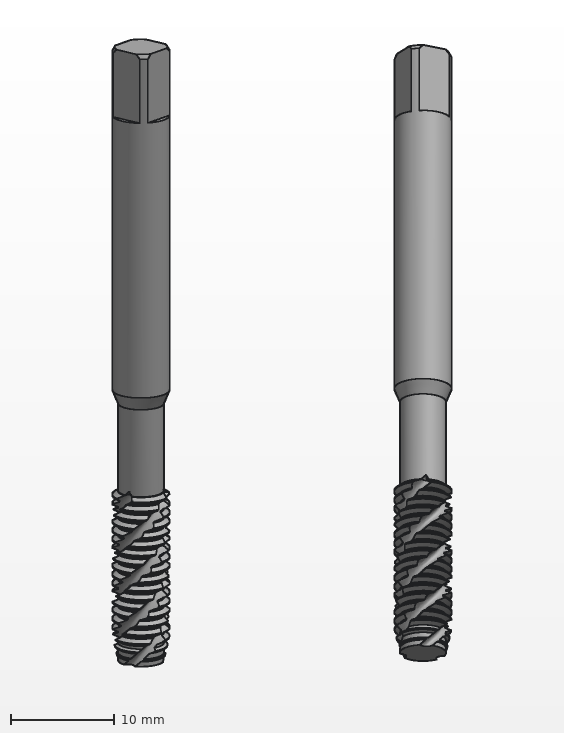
import cadquery as cq
import math

total_length = 62.0
body_radius = 2.8
neck_diameter = 4.45
neck_radius = neck_diameter / 2

square_width = 4.45
square_length = 6.9
square_bevel_height = 0.45
square_bevel_inset = 0.25

neck_top = 26.0
taper_height = 1.35
cutter_length = 17.2

ring_count = 19
plain_tip_length = 0.2
crest_flat = 0.11
flank_angle = 30.0
lead_in_height = 2.55
pitch = (cutter_length - plain_tip_length) / ring_count

flute_count = 3
flute_lead = 12.8
flute_half_width = 0.55
flute_floor_radius = 1.8
flute_center_radius = 3.0
flute_depth_axis = flute_center_radius - flute_floor_radius
flute_end_height = 17.25
flute_end_angle = 284.0
flute_overrun = 0.9
segments_per_flute = 2
joint_tolerance = 0.0001


def revolved(profile):
    """Revolve a closed outline of (radius, height) points about the Z axis, starting at -Y."""
    points = [(-radius, height) for radius, height in profile]
    return cq.Workplane("YZ").polyline(points).close().revolve(360, (0, 0), (0, 1))


def make_shank():
    """Neck, taper and round body, with a bevelled square at the top."""
    blank = revolved([
        (0, cutter_length),
        (neck_radius, cutter_length),
        (neck_radius, neck_top),
        (body_radius, neck_top + taper_height),
        (body_radius, total_length - square_bevel_height),
        (body_radius - square_bevel_inset, total_length),
        (0, total_length),
    ])
    square_base = total_length - square_length
    around_square = (
        cq.Workplane("XY", origin=(0, 0, square_base))
        .rect(3 * body_radius, 3 * body_radius)
        .rect(square_width, square_width)
        .extrude(square_length)
    )
    return blank.cut(around_square)


def crest_radius(height):
    """Outer radius of the thread, tapered from the neck radius at the tip to the full radius."""
    lead_in_fraction = min(height / lead_in_height, 1)
    return neck_radius + (body_radius - neck_radius) * lead_in_fraction


def make_threaded_blank():
    """Stack of V-shaped thread rings before the flutes are cut."""
    outline = [(0, 0), (neck_radius, 0)]
    for ring in range(ring_count):
        crest_center = plain_tip_length + (ring + 0.5) * pitch
        crest_bottom = crest_center - crest_flat / 2
        crest_top = crest_center + crest_flat / 2
        bottom_radius = crest_radius(crest_bottom)
        top_radius = crest_radius(crest_top)
        flank_slope = math.tan(math.radians(flank_angle))
        outline += [
            (neck_radius, crest_bottom - (bottom_radius - neck_radius) * flank_slope),
            (bottom_radius, crest_bottom),
            (top_radius, crest_top),
            (neck_radius, crest_top + (top_radius - neck_radius) * flank_slope),
        ]
    outline += [(neck_radius, cutter_length), (0, cutter_length)]
    return revolved(outline)


def make_flute_segment(start_height, length, end_angle):
    """Helical bar of elliptical section, square to its path at both ends, for less than one turn of a flute."""
    path = cq.Wire.makeHelix(flute_lead, length, flute_center_radius)
    rise = flute_lead / (2 * math.pi * flute_center_radius)
    start_plane = cq.Plane(
        origin=(flute_center_radius, 0, 0),
        xDir=(1, 0, 0),
        normal=(0, 1, rise),
    )
    start_angle = end_angle - 360 * (flute_end_height - start_height) / flute_lead
    return (
        cq.Workplane(start_plane)
        .ellipse(flute_depth_axis, flute_half_width)
        .sweep(cq.Workplane(path), isFrenet=True)
        .rotate((0, 0, 0), (0, 0, 1), start_angle)
        .translate((0, 0, start_height))
    )


def make_flute(index):
    """One flute from below the tip to the neck, joined from segments laid end to end."""
    end_angle = flute_end_angle + index * 360 / flute_count
    segment_length = (flute_end_height + flute_overrun) / segments_per_flute
    flute = make_flute_segment(-flute_overrun, segment_length, end_angle)
    for segment in range(1, segments_per_flute):
        start_height = segment * segment_length - flute_overrun
        next_segment = make_flute_segment(start_height, segment_length, end_angle)
        flute = flute.union(next_segment, tol=joint_tolerance)
    return flute


shank = make_shank()
cutter = make_threaded_blank()
for flute_index in range(flute_count):
    flute_tool = make_flute(flute_index)
    shank = shank.cut(flute_tool)
    cutter = cutter.cut(flute_tool)

result = cq.Compound.makeCompound([shank.solids().val(), cutter.solids().val()])